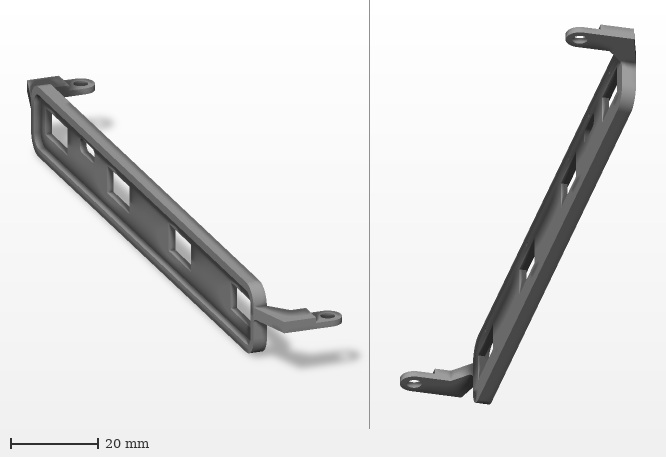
import cadquery as cq
import math

overall_length = 164.0
overall_depth = 18.5
plate_length = 141.9
plate_height = 17.2
plate_thickness = 3.3
corner_radius = 4.8
rim_width = 2.0
recess_depth = 1.6
recess_radius = corner_radius - rim_width

opening_pitch = 39.4
window_positions = [step * opening_pitch for step in (-1.5, -0.5, 0.5, 1.5)]
window_length = 14.3
window_height = 6.7
slot_position = -opening_pitch
slot_length = 9.5
slot_height = 3.5
slot_corner_radius = 1.5
slot_rise = 2.5
pinhole_positions = window_positions + [slot_position]
pinhole_diameter = 1.0
pinhole_rise = 5.9

arm_bottom = 1.3
arm_thickness = 2.8
arm_width = 6.5
ear_radius = arm_width / 2
ear_thickness = 1.5
ear_hole_diameter = 3.5
ear_step_y = 11.2
knee_y = 7.4
arm_overlap = 1.6
joint_fillet = 1.0

outer_x = -overall_length / 2
inner_x = outer_x + arm_width
ear_x = outer_x + ear_radius
ear_y = overall_depth - ear_radius
plate_end_x = -plate_length / 2
buried_x = plate_end_x + arm_overlap


def plate_sketch():
    """Workplane on the front face: X along the plate, Y up, normal towards -Y."""
    return cq.Workplane("XZ")


def make_plate():
    plate = (
        plate_sketch()
        .rect(plate_length, plate_height)
        .extrude(-plate_thickness)
        .edges("|Y")
        .fillet(corner_radius)
    )
    recess = (
        plate_sketch()
        .rect(plate_length - 2 * rim_width, plate_height - 2 * rim_width)
        .extrude(-recess_depth)
        .edges("|Y")
        .fillet(recess_radius)
    )
    return plate.cut(recess)


def make_openings():
    windows = (
        plate_sketch()
        .pushPoints([(x, 0) for x in window_positions])
        .rect(window_length, window_height)
        .extrude(-plate_thickness)
    )
    slot = (
        plate_sketch()
        .center(slot_position, slot_rise)
        .rect(slot_length, slot_height)
        .extrude(-plate_thickness)
        .edges("|Y")
        .fillet(slot_corner_radius)
    )
    pinholes = (
        plate_sketch()
        .pushPoints([(x, pinhole_rise) for x in pinhole_positions])
        .circle(pinhole_diameter / 2)
        .extrude(-plate_thickness)
    )
    return windows.union(slot).union(pinholes)


def extrude_arm_outline(bottom, height):
    """Left arm seen from above, from the end of the plate back to the round ear."""
    return (
        cq.Workplane("XY", origin=(0, 0, bottom))
        .moveTo(buried_x, 0)
        .lineTo(plate_end_x, 0)
        .lineTo(outer_x, plate_thickness)
        .lineTo(outer_x, ear_y)
        .threePointArc((ear_x, overall_depth), (inner_x, ear_y))
        .lineTo(inner_x, knee_y)
        .lineTo(plate_end_x, plate_thickness)
        .lineTo(buried_x, plate_thickness)
        .close()
        .extrude(height)
    )


def make_joint_fillet():
    """Concave fillet under the arm, against the end of the plate, trimmed to the arm's outline."""
    tangent_x = plate_end_x - joint_fillet
    tangent_z = arm_bottom - joint_fillet
    arc_offset = joint_fillet * math.sqrt(0.5)
    fillet_strip = (
        plate_sketch()
        .moveTo(tangent_x, arm_bottom)
        .threePointArc((tangent_x + arc_offset, tangent_z + arc_offset), (plate_end_x, tangent_z))
        .lineTo(buried_x, tangent_z)
        .lineTo(buried_x, arm_bottom)
        .close()
        .extrude(-overall_depth)
    )
    return extrude_arm_outline(tangent_z, joint_fillet).intersect(fillet_strip)


def make_left_arm():
    ear_relief = (
        cq.Workplane("XY")
        .box(arm_width, overall_depth - ear_step_y, arm_thickness, centered=False)
        .translate((outer_x, ear_step_y, arm_bottom + ear_thickness))
    )
    ear_hole = (
        cq.Workplane("XY", origin=(ear_x, ear_y, arm_bottom))
        .circle(ear_hole_diameter / 2)
        .extrude(arm_thickness)
    )
    arm = extrude_arm_outline(arm_bottom, arm_thickness)
    return arm.cut(ear_relief).cut(ear_hole).union(make_joint_fillet())


left_arm = make_left_arm()
right_arm = left_arm.mirror("YZ")
result = make_plate().union(left_arm).union(right_arm).cut(make_openings())